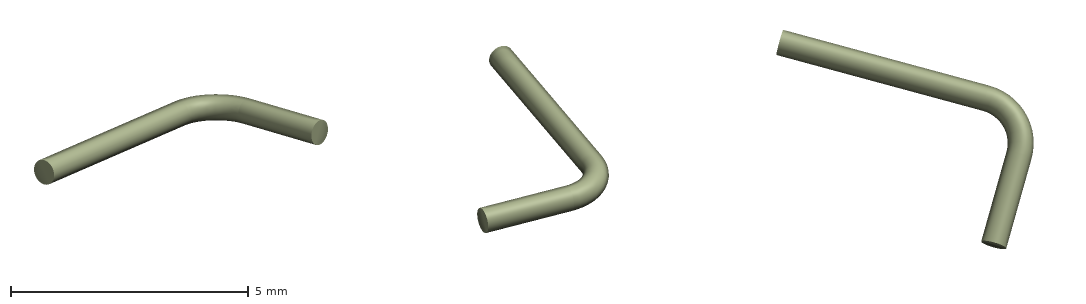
import cadquery as cq

total_length = 5.78
total_width = 3.27
wire_diameter = 0.55
bend_radius = 1.0

wire_radius = wire_diameter / 2
long_leg = total_length - wire_radius - bend_radius
short_leg = total_width - wire_radius - bend_radius


def bent_centerline():
    """Long leg along +Y, quarter bend, then short leg along +X."""
    return (
        cq.Workplane("XY")
        .lineTo(0, long_leg)
        .radiusArc((bend_radius, long_leg + bend_radius), bend_radius)
        .lineTo(bend_radius + short_leg, long_leg + bend_radius)
    )


result = cq.Workplane("XZ").circle(wire_radius).sweep(bent_centerline())